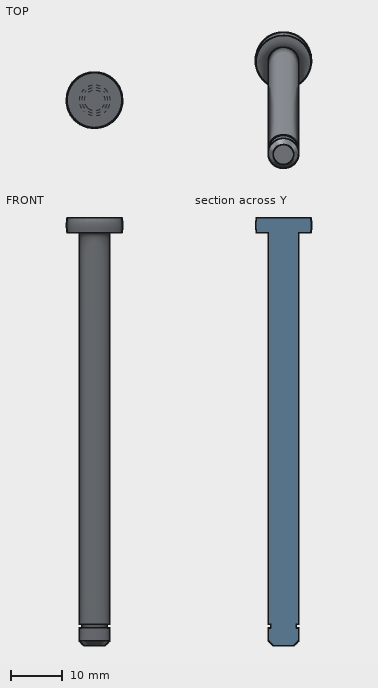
import cadquery as cq

total_length = 83.0
head_diameter = 10.95
head_height = 3.0
head_bulge = 0.2
shaft_diameter = 6.0
groove_diameter = 5.0
groove_width = 0.7
groove_offset = 3.5
tip_chamfer = 1.0

tip_z = -total_length / 2
top_z = total_length / 2
head_bottom_z = top_z - head_height
head_middle_z = top_z - head_height / 2
head_radius = head_diameter / 2
head_face_radius = head_radius - head_bulge


def make_head():
    """Flat-faced disc with a convex rim."""
    return (
        cq.Workplane("XZ")
        .moveTo(0, head_bottom_z)
        .lineTo(head_face_radius, head_bottom_z)
        .threePointArc((head_radius, head_middle_z), (head_face_radius, top_z))
        .lineTo(0, top_z)
        .close()
        .revolve(360, (0, 0), (0, 1))
    )


def make_shaft():
    """Round shaft with a chamfered tip."""
    return (
        cq.Workplane("XY", origin=(0, 0, tip_z))
        .circle(shaft_diameter / 2)
        .extrude(total_length - head_height)
        .faces("<Z")
        .chamfer(tip_chamfer)
    )


def make_groove():
    """Ring of material removed for the retaining clip."""
    return (
        cq.Workplane("XY", origin=(0, 0, tip_z + groove_offset))
        .circle(shaft_diameter / 2)
        .circle(groove_diameter / 2)
        .extrude(groove_width)
    )


result = make_shaft().cut(make_groove()).union(make_head())